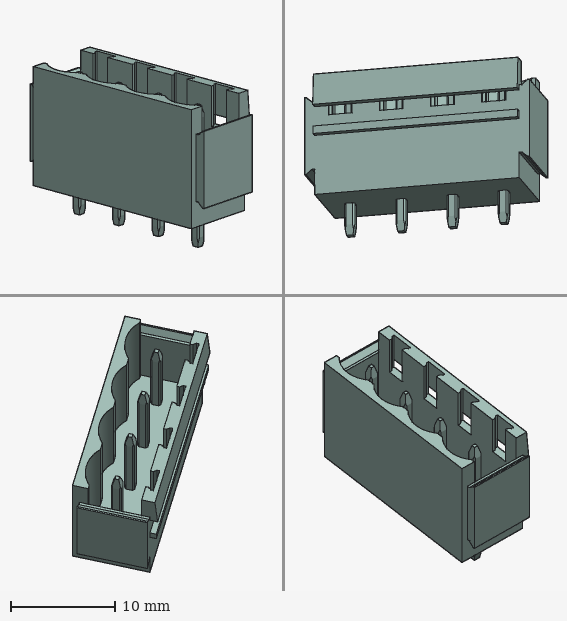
import cadquery as cq


pole_count = 4
total_length = 22.32
wing_reach = 1.0
body_length = total_length - 2 * wing_reach
pitch = body_length / pole_count
total_depth = 8.44
lip_reach = 0.75
body_depth = total_depth - lip_reach
total_height = 15.2
pin_drop = 3.2
body_height = total_height - pin_drop
front_wall = 1.56
back_wall = 0.83

wing_depth = 6.99
wing_bottom = 2.08
wing_top = body_height - 2.15
wing_flare = 0.5
wing_neck = 0.27
wing_rim = 0.15
floor_height = wing_bottom + wing_flare

scallop_width = 4.29
scallop_depth = 0.83

window_inner_width = 1.87
window_outer_width = 2.37
window_inner_land = 0.3
window_outer_land = 0.25
window_drop = 4.06

lip_height = 3.15
lip_top_reach = 0.5
rib_reach = 0.62
rib_height = 0.75
rib_bottom = 5.95

pin_width = 1.0
pin_chamfer = 0.18
pin_y = 3.8
pin_top = body_height - 0.94
pin_upper_taper = 1.2
pin_upper_tip = 0.38
pin_lower_taper = 1.0
pin_lower_tip = 0.65

pole_positions = [(i - (pole_count - 1) / 2) * pitch for i in range(pole_count)]


def make_housing():
    """Trough with open ends, carrying the lip and rib, swept along X."""
    trough_back = body_depth - back_wall
    lip_bottom = body_height - lip_height
    rib_top = rib_bottom + rib_height
    section = [
        (0, 0),
        (body_depth, 0),
        (body_depth, rib_bottom),
        (body_depth + rib_reach, rib_bottom),
        (body_depth + rib_reach, rib_top),
        (body_depth, rib_top),
        (body_depth, lip_bottom),
        (body_depth + lip_reach, lip_bottom),
        (body_depth + lip_top_reach, body_height),
        (trough_back, body_height),
        (trough_back, floor_height),
        (front_wall, floor_height),
        (front_wall, body_height),
        (0, body_height),
    ]
    return cq.Workplane("YZ").polyline(section).close().extrude(body_length / 2, both=True)


def make_wing():
    """Dovetail wing on the +X end; its neck closes the end of the trough."""
    end = body_length / 2
    outer = end + wing_reach
    section = [
        (end, wing_bottom + wing_flare),
        (end + wing_neck, wing_bottom + wing_flare),
        (outer - wing_rim, wing_bottom),
        (outer, wing_bottom),
        (outer, wing_top),
        (outer - wing_rim, wing_top),
        (end + wing_neck, wing_top - wing_flare),
        (end, wing_top - wing_flare),
    ]
    wing = cq.Workplane("XZ", origin=(0, body_depth, 0)).polyline(section).close()
    return wing.extrude(wing_depth)


def make_scallop(x):
    """Shallow arc cut into the inner face of the front wall, down to the floor."""
    return (
        cq.Workplane("XY", origin=(x, front_wall, floor_height))
        .moveTo(-scallop_width / 2, 0)
        .threePointArc((0, -scallop_depth), (scallop_width / 2, 0))
        .close()
        .extrude(body_height - floor_height)
    )


def make_window(x):
    """Dovetail slot through the back wall, open at the top and widest at the back."""
    inner = window_inner_width / 2
    outer = window_outer_width / 2
    right_side = [
        (inner, -back_wall),
        (inner, window_inner_land - back_wall),
        (outer, -window_outer_land),
        (outer, 0),
    ]
    left_side = [(-px, py) for px, py in reversed(right_side)]
    return (
        cq.Workplane("XY", origin=(x, body_depth, body_height - window_drop))
        .polyline(right_side + left_side)
        .close()
        .extrude(window_drop)
    )


def make_pin(x):
    """Square pin with chamfered edges and a tapered tip at each end."""
    half = pin_width / 2
    right_side = [
        (pin_lower_tip / 2, -pin_drop),
        (half, pin_lower_taper - pin_drop),
        (half, pin_top - pin_upper_taper),
        (pin_upper_tip / 2, pin_top),
    ]
    left_side = [(-px, pz) for px, pz in reversed(right_side)]
    slab = cq.Workplane("XZ").polyline(right_side + left_side).close().extrude(half, both=True)
    crossed_slab = slab.rotate((0, 0, 0), (0, 0, 1), 90)
    bar = (
        cq.Workplane("XY", origin=(0, 0, -pin_drop))
        .rect(pin_width, pin_width)
        .extrude(pin_top + pin_drop)
        .edges("|Z")
        .chamfer(pin_chamfer)
    )
    return bar.intersect(slab).intersect(crossed_slab).translate((x, pin_y, 0))


right_wing = make_wing()
result = make_housing().union(right_wing).union(right_wing.mirror("YZ"))

for pole_x in pole_positions:
    result = result.cut(make_scallop(pole_x)).cut(make_window(pole_x))
    result = result.union(make_pin(pole_x))